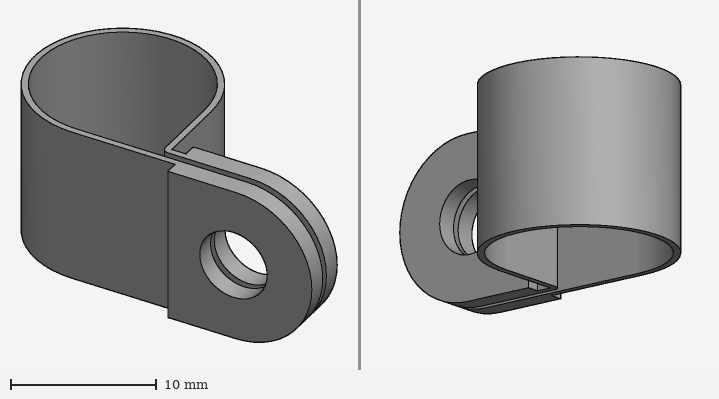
import cadquery as cq
import math

length = 26.5
width = 12.0
loop_radius = 7.0
wall = 0.5
pad_thickness = 1.5
tab_gap = 0.5
pad_start = 15.1
hole_diameter = 5.33
hole_distance = 20.3

left = -loop_radius
tip = left + length
pad_left = left + pad_start
hole_x = left + hole_distance
inner_radius = loop_radius - wall
lower_face = -inner_radius
upper_face = lower_face + tab_gap
lower_pad_bottom = lower_face - pad_thickness
upper_pad_top = upper_face + pad_thickness
tab_end_radius = width / 2
bend_radius = wall
diagonal = math.sqrt(0.5)


def make_strip():
    """Three-quarter loop running into two parallel, thickened tabs."""
    profile = (
        cq.Workplane("XY", origin=(0, 0, -width / 2))
        .moveTo(0, -loop_radius)
        .lineTo(pad_left, -loop_radius)
        .lineTo(pad_left, lower_pad_bottom)
        .lineTo(tip, lower_pad_bottom)
        .lineTo(tip, lower_face)
        .lineTo(0, lower_face)
        .threePointArc((-inner_radius * diagonal, inner_radius * diagonal), (inner_radius, 0))
        .lineTo(inner_radius, upper_face + bend_radius)
        .radiusArc((inner_radius + bend_radius, upper_face), -bend_radius)
        .lineTo(tip, upper_face)
        .lineTo(tip, upper_pad_top)
        .lineTo(pad_left, upper_pad_top)
        .lineTo(pad_left, upper_face + wall)
        .lineTo(loop_radius, upper_face + wall)
        .lineTo(loop_radius, 0)
        .threePointArc((-loop_radius * diagonal, loop_radius * diagonal), (0, -loop_radius))
        .close()
    )
    return profile.extrude(width)


def make_side_outline():
    """Envelope that gives both tabs their full-round ends."""
    reach = 2 * loop_radius
    round_center = tip - tab_end_radius
    return (
        cq.Workplane("XZ", origin=(0, reach, 0))
        .moveTo(left, -width / 2)
        .lineTo(round_center, -width / 2)
        .threePointArc((tip, 0), (round_center, width / 2))
        .lineTo(left, width / 2)
        .close()
        .extrude(2 * reach)
    )


def make_screw_hole():
    """Through hole across both tabs."""
    return (
        cq.Workplane("XZ", origin=(hole_x, upper_pad_top, 0))
        .circle(hole_diameter / 2)
        .extrude(upper_pad_top - lower_pad_bottom)
    )


result = make_strip().intersect(make_side_outline()).cut(make_screw_hole())